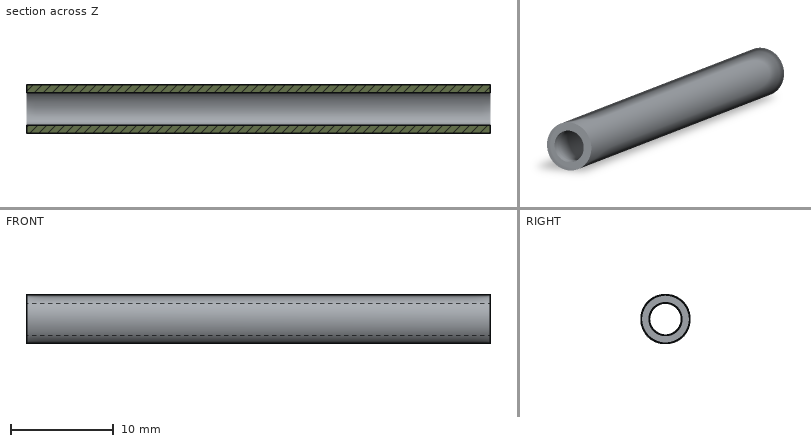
import cadquery as cq

tube_length = 45.21
outer_diameter = 4.76
bore_diameter = 3.13


def make_tube(length, outside, bore):
    """Round tube along X with a through bore, centred on the origin."""
    end_plane = cq.Workplane("YZ", origin=(-length / 2, 0, 0))
    return end_plane.circle(outside / 2).circle(bore / 2).extrude(length)


result = make_tube(tube_length, outer_diameter, bore_diameter)